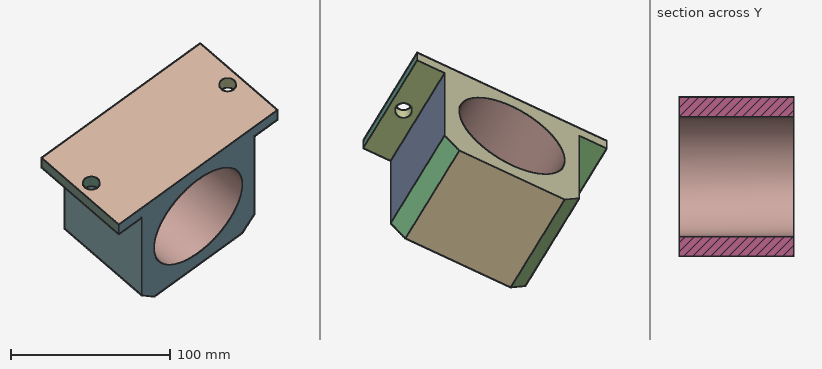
import cadquery as cq

flange_length = 135.0
width = 72.0
flange_thickness = 10.0
screw_hole_diameter = 10.5
screw_hole_spacing = 116.0

total_height = 100.0
block_length = 96.0
bore_diameter = 75.0
bottom_chamfer = 10.5

block_height = total_height - flange_thickness


def make_flange():
    """Plate on top, with a vertical screw hole near each end."""
    plate = cq.Workplane("XY").workplane(offset=block_height).rect(width, flange_length)
    plate = plate.extrude(flange_thickness)
    screw_holes = [(0, -screw_hole_spacing / 2), (0, screw_hole_spacing / 2)]
    return plate.faces(">Z").workplane().pushPoints(screw_holes).hole(screw_hole_diameter)


def make_block():
    """Block with its two lower long edges chamfered."""
    block = cq.Workplane("XY").box(width, block_length, block_height, centered=(True, True, False))
    return block.edges("|X and <Z").chamfer(bottom_chamfer)


def make_bore():
    """Cylinder along X, centred in the total height."""
    bore = cq.Workplane("YZ", origin=(-width / 2, 0, total_height / 2))
    return bore.circle(bore_diameter / 2).extrude(width)


result = make_flange().union(make_block()).cut(make_bore())